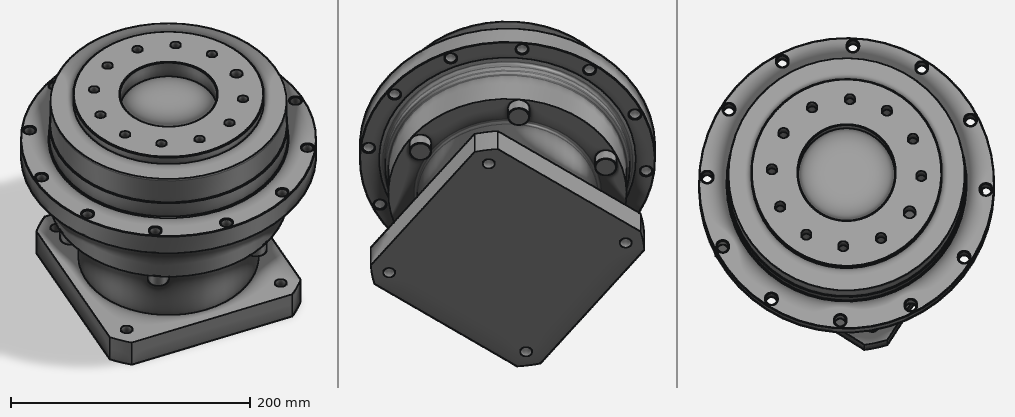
import cadquery as cq
import math

plate_top = 24.7
body_bottom = 88.5
pilot_bottom = 121.0
pilot_top = 129.7
flange_bottom = 135.0
flange_top = 154.4
collar_top = 170.0
drum_top = 196.4
total_height = 204.0

neck_radius = 75.5
body_radius = 99.5
pilot_radius = 102.3
flange_radius = 123.5
drum_radius = 98.8
output_radius = 79.8
bore_radius = 40.5

neck_fillet = 3.0
pilot_edge_round = 1.2
pilot_edge_angle = 45
flange_blend = 4.5
flange_blend_angle = 60
edge_chamfer = 0.7
flange_chamfer = 0.5
flange_root_chamfer = 1.0
screw_head_chamfer = 0.5
drum_chamfer_height = 1.7
drum_chamfer_width = 0.2
collar_chamfer = body_radius - drum_radius

plate_side = 175.4
plate_corner_radius = 114.5
plate_hole_circle = 100.0
plate_hole_diameter = 10.0

flange_hole_count = 12
flange_hole_circle = 116.5
flange_hole_diameter = 9.6

bore_depth = 15.8
output_hole_count = 12
output_hole_circle = 62.5
tapped_diameter = 8.6
tapped_depth = 19.8
drill_point_angle = 118
dowel_diameter = 10.1

screw_count = 6
screw_circle = 90.0
screw_head_diameter = 18.0
screw_head_height = 11.5


def polar_point(radius, angle):
    return (
        radius * math.cos(math.radians(angle)),
        radius * math.sin(math.radians(angle)),
    )


def ring(count, radius, first_angle=0.0):
    """Points equally spaced on a circle about the Z axis."""
    return [polar_point(radius, first_angle + i * 360 / count) for i in range(count)]


def arc_point(center, radius, angle):
    dx, dz = polar_point(radius, angle)
    return (center[0] + dx, center[1] + dz)


def turned_body():
    neck_center = (neck_radius + neck_fillet, body_bottom - neck_fillet)

    round_width = pilot_edge_round * (1 - math.cos(math.radians(pilot_edge_angle)))
    round_height = pilot_edge_round * math.sin(math.radians(pilot_edge_angle))
    cone_width = pilot_radius - body_radius - 2 * round_width
    cone_height = cone_width / math.tan(math.radians(pilot_edge_angle))
    shoulder_top = pilot_bottom + cone_height + 2 * round_height
    hollow_center = (body_radius + pilot_edge_round, pilot_bottom)
    crest_center = (pilot_radius - pilot_edge_round, shoulder_top)

    blend_center = (pilot_radius + flange_blend, pilot_top)
    blend_end = arc_point(blend_center, flange_blend, 180 - flange_blend_angle)
    runout_width = (flange_bottom - blend_end[1]) * math.tan(math.radians(flange_blend_angle))

    profile = (
        cq.Workplane("XZ")
        .moveTo(0, 0)
        .lineTo(neck_radius, 0)
        .lineTo(neck_radius, neck_center[1])
        .threePointArc(arc_point(neck_center, neck_fillet, 135), (neck_center[0], body_bottom))
        .lineTo(body_radius, body_bottom)
        .lineTo(body_radius, pilot_bottom)
        .threePointArc(
            arc_point(hollow_center, pilot_edge_round, 180 - pilot_edge_angle / 2),
            arc_point(hollow_center, pilot_edge_round, 180 - pilot_edge_angle),
        )
        .lineTo(*arc_point(crest_center, pilot_edge_round, -pilot_edge_angle))
        .threePointArc(
            arc_point(crest_center, pilot_edge_round, -pilot_edge_angle / 2),
            (pilot_radius, shoulder_top),
        )
        .lineTo(pilot_radius, pilot_top)
        .threePointArc(
            arc_point(blend_center, flange_blend, 180 - flange_blend_angle / 2),
            blend_end,
        )
        .lineTo(blend_end[0] + runout_width, flange_bottom)
        .lineTo(flange_radius - flange_chamfer, flange_bottom)
        .lineTo(flange_radius, flange_bottom + flange_chamfer)
        .lineTo(flange_radius, flange_top - flange_chamfer)
        .lineTo(flange_radius - flange_chamfer, flange_top)
        .lineTo(body_radius + flange_root_chamfer, flange_top)
        .lineTo(body_radius, flange_top + flange_root_chamfer)
        .lineTo(body_radius, collar_top)
        .lineTo(drum_radius, collar_top + collar_chamfer)
        .lineTo(drum_radius, drum_top - drum_chamfer_height)
        .lineTo(drum_radius - drum_chamfer_width, drum_top)
        .lineTo(output_radius, drum_top)
        .lineTo(output_radius, total_height - edge_chamfer)
        .lineTo(output_radius - edge_chamfer, total_height)
        .lineTo(bore_radius + edge_chamfer, total_height)
        .lineTo(bore_radius, total_height - edge_chamfer)
        .lineTo(bore_radius, total_height - bore_depth)
        .lineTo(0, total_height - bore_depth)
        .close()
    )
    return profile.revolve(360, (0, 0, 0), (0, 1, 0))


def mounting_plate():
    square = cq.Workplane("XY").rect(plate_side, plate_side).extrude(plate_top)
    corner_limit = cq.Workplane("XY").circle(plate_corner_radius).extrude(plate_top)
    holes = (
        cq.Workplane("XY")
        .pushPoints(ring(4, plate_hole_circle, 45))
        .circle(plate_hole_diameter / 2)
        .extrude(plate_top)
    )
    return square.intersect(corner_limit).cut(holes)


def screw_heads():
    return (
        cq.Workplane("XY", origin=(0, 0, body_bottom))
        .pushPoints(ring(screw_count, screw_circle, 30))
        .circle(screw_head_diameter / 2)
        .extrude(-screw_head_height)
        .faces("<Z")
        .edges()
        .chamfer(screw_head_chamfer)
    )


def flange_holes():
    """Through holes with both rims chamfered."""
    radius = flange_hole_diameter / 2
    rim = radius + edge_chamfer
    cutter = (
        cq.Workplane("XZ")
        .moveTo(0, flange_bottom)
        .lineTo(rim, flange_bottom)
        .lineTo(radius, flange_bottom + edge_chamfer)
        .lineTo(radius, flange_top - edge_chamfer)
        .lineTo(rim, flange_top)
        .lineTo(0, flange_top)
        .close()
        .revolve(360, (0, 0, 0), (0, 1, 0))
        .val()
    )
    points = ring(flange_hole_count, flange_hole_circle)
    return cq.Workplane("XY").pushPoints(points).eachpoint(lambda place: cutter.moved(place))


def tapped_holes():
    """Blind holes with a drill point, at every output position but the dowel's."""
    radius = tapped_diameter / 2
    point_height = radius / math.tan(math.radians(drill_point_angle / 2))
    hole_floor = total_height - tapped_depth
    cutter = (
        cq.Workplane("XZ")
        .moveTo(0, total_height)
        .lineTo(radius, total_height)
        .lineTo(radius, hole_floor)
        .lineTo(0, hole_floor - point_height)
        .close()
        .revolve(360, (0, 0, 0), (0, 1, 0))
        .val()
    )
    points = ring(output_hole_count, output_hole_circle, 90)[1:]
    return cq.Workplane("XY").pushPoints(points).eachpoint(lambda place: cutter.moved(place))


def dowel_hole():
    return (
        cq.Workplane("XY", origin=(0, output_hole_circle, total_height))
        .circle(dowel_diameter / 2)
        .extrude(-tapped_depth)
    )


result = (
    turned_body()
    .union(mounting_plate())
    .union(screw_heads())
    .cut(flange_holes())
    .cut(tapped_holes())
    .cut(dowel_hole())
)